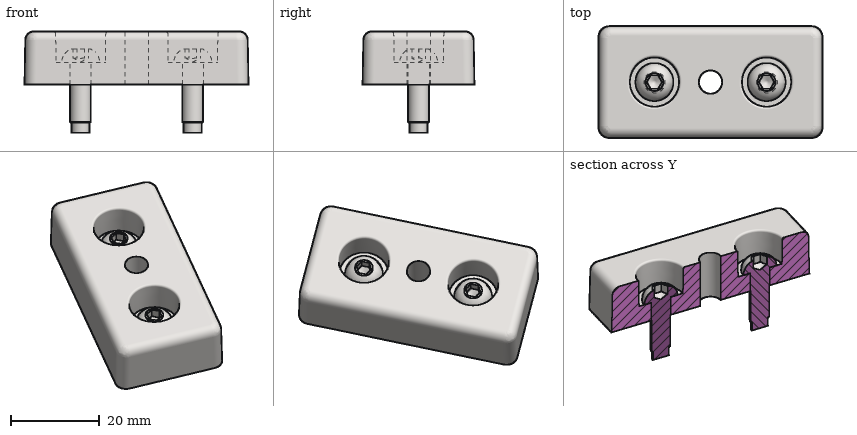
import cadquery as cq
import math

BLOCK_LENGTH = 50.4
BLOCK_WIDTH = BLOCK_LENGTH / 2
BLOCK_HEIGHT = 12.0
SIDE_DRAFT = 1.0
CORNER_RADIUS = 2.5
TOP_EDGE_RADIUS = 2.0
CENTER_HOLE_DIAMETER = 5.2

SCREW_SPACING = BLOCK_LENGTH / 2
SCREW_POSITIONS = [-SCREW_SPACING / 2, SCREW_SPACING / 2]
POCKET_RADIUS = 5.65
POCKET_DRAFT = 1.0
POCKET_DEPTH = 7.0
POCKET_RIM_RADIUS = 0.5
POCKET_FLOOR_Z = BLOCK_HEIGHT - POCKET_DEPTH
POCKET_FLOOR_RADIUS = POCKET_RADIUS - POCKET_DEPTH * math.tan(math.radians(POCKET_DRAFT))

HEAD_RADIUS = 4.3
CROWN_RADIUS = 2.0
HEAD_HEIGHT = 3.1
CROWN_Z = POCKET_FLOOR_Z + HEAD_HEIGHT
SHANK_RADIUS = 2.35
SHANK_END_Z = -8.35
TIP_RADIUS = 2.05
TIP_END_Z = -10.85
STEP_BEVEL = 0.25
SOCKET_ACROSS_FLATS = 2.95
SOCKET_DEPTH = 2.0
SOCKET_CONE_ANGLE = 120.0


def screw_pocket(x):
    """Tapered counterbore and shank hole for one screw."""
    profile = (
        cq.Workplane("XZ")
        .moveTo(0, 0)
        .lineTo(SHANK_RADIUS, 0)
        .lineTo(SHANK_RADIUS, POCKET_FLOOR_Z)
        .lineTo(POCKET_FLOOR_RADIUS, POCKET_FLOOR_Z)
        .lineTo(POCKET_RADIUS, BLOCK_HEIGHT)
        .lineTo(0, BLOCK_HEIGHT)
        .close()
    )
    return profile.revolve(360, (0, 0, 0), (0, 1, 0)).translate((x, 0, 0))


def make_block():
    """Drafted block with a center hole and a pocket for each screw."""
    block = (
        cq.Workplane("XY")
        .rect(BLOCK_LENGTH, BLOCK_WIDTH)
        .extrude(BLOCK_HEIGHT, taper=SIDE_DRAFT)
        .edges("not(#Z)")
        .fillet(CORNER_RADIUS)
        .faces(">Z")
        .edges()
        .fillet(TOP_EDGE_RADIUS)
    )
    block = block.faces(">Z").workplane(origin=(0, 0, 0)).hole(CENTER_HOLE_DIAMETER)
    for x in SCREW_POSITIONS:
        block = block.cut(screw_pocket(x))
    pocket_rims = block.faces(">Z").edges("%CIRCLE").edges(cq.selectors.RadiusNthSelector(-1))
    return pocket_rims.fillet(POCKET_RIM_RADIUS)


def hex_socket():
    """Hexagonal recess with corners along X, ending in a cone."""
    corner_radius = SOCKET_ACROSS_FLATS / math.sqrt(3)
    cone_height = corner_radius / math.tan(math.radians(SOCKET_CONE_ANGLE / 2))
    floor_z = CROWN_Z - SOCKET_DEPTH
    hexagon = (
        cq.Workplane("XY")
        .workplane(offset=floor_z - cone_height)
        .polygon(6, 2 * corner_radius)
        .extrude(SOCKET_DEPTH + cone_height)
    )
    pointed_envelope = (
        cq.Workplane("XZ")
        .moveTo(0, floor_z - cone_height)
        .lineTo(corner_radius, floor_z)
        .lineTo(corner_radius, CROWN_Z)
        .lineTo(0, CROWN_Z)
        .close()
        .revolve(360, (0, 0, 0), (0, 1, 0))
    )
    return hexagon.intersect(pointed_envelope)


def make_screw(x):
    """Button-head screw seated on the pocket floor at the given X."""
    head_overhang = HEAD_RADIUS - CROWN_RADIUS
    dome_radius = (head_overhang**2 + HEAD_HEIGHT**2) / (2 * head_overhang)
    half_sweep = math.asin(HEAD_HEIGHT / dome_radius) / 2
    dome_middle = (
        HEAD_RADIUS - dome_radius * (1 - math.cos(half_sweep)),
        POCKET_FLOOR_Z + dome_radius * math.sin(half_sweep),
    )
    profile = (
        cq.Workplane("XZ")
        .moveTo(0, TIP_END_Z)
        .lineTo(TIP_RADIUS, TIP_END_Z)
        .lineTo(TIP_RADIUS, SHANK_END_Z - STEP_BEVEL)
        .lineTo(SHANK_RADIUS, SHANK_END_Z)
        .lineTo(SHANK_RADIUS, POCKET_FLOOR_Z)
        .lineTo(HEAD_RADIUS, POCKET_FLOOR_Z)
        .threePointArc(dome_middle, (CROWN_RADIUS, CROWN_Z))
        .lineTo(0, CROWN_Z)
        .close()
    )
    screw = profile.revolve(360, (0, 0, 0), (0, 1, 0)).cut(hex_socket())
    return screw.translate((x, 0, 0))


block = make_block()
screws = [make_screw(x) for x in SCREW_POSITIONS]

result = cq.Compound.makeCompound([block.val(), *[screw.val() for screw in screws]])